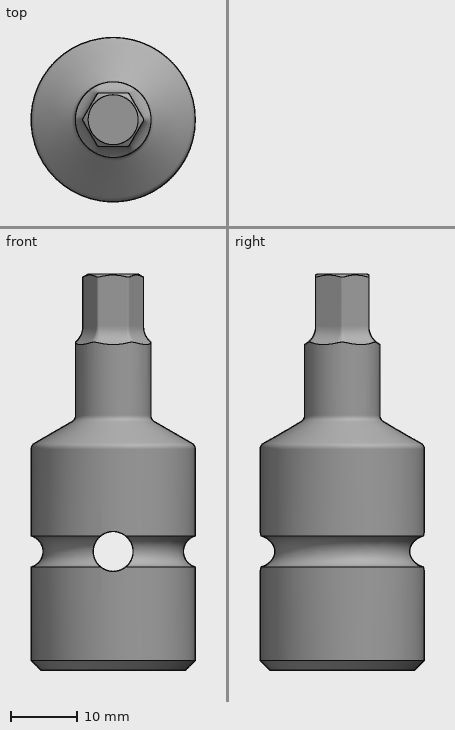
import cadquery as cq
import math

total_length = 60.0
body_diameter = 24.9
neck_diameter = 11.45
body_radius = body_diameter / 2
neck_radius = neck_diameter / 2

base_chamfer = 1.5
body_top = 34.1
shoulder_angle = 30.0
shoulder_fillet = 1.0
shoulder_height = (body_radius - neck_radius) * math.tan(math.radians(shoulder_angle))
neck_base = body_top + shoulder_height

groove_z = 18.0
groove_depth = 1.8
groove_half_width = 2.35
hole_diameter = 6.0

hex_across_flats = 8.1
hex_edge_round = 0.4
flare_radius = 3.0
flare_floor = 49.0
pick_margin = 0.05
tip_face_radius = 3.8
tip_chamfer_angle = 30.0


def make_hex_blank():
    """Hex bar whose root flares tangentially into a disc wider than the neck."""
    hex_corner_diameter = hex_across_flats / math.cos(math.radians(30))
    disc_radius = neck_radius + 2 * flare_radius
    disc = (
        cq.Workplane("XY")
        .workplane(offset=neck_base)
        .circle(disc_radius)
        .extrude(flare_floor - neck_base)
    )
    bar = (
        cq.Workplane("XY")
        .workplane(offset=neck_base)
        .polygon(6, hex_corner_diameter)
        .extrude(total_length - neck_base)
        .edges("|Z")
        .fillet(hex_edge_round)
    )
    root_box = cq.selectors.BoxSelector(
        (-neck_radius, -neck_radius, flare_floor - pick_margin),
        (neck_radius, neck_radius, flare_floor + pick_margin),
    )
    return disc.union(bar).edges(root_box).fillet(flare_radius)


def make_neck_envelope():
    """Neck cylinder with the conical tip chamfer that trims the hex corners."""
    chamfer_drop = (neck_radius - tip_face_radius) * math.tan(math.radians(tip_chamfer_angle))
    return (
        cq.Workplane("XZ")
        .moveTo(0, neck_base)
        .lineTo(neck_radius, neck_base)
        .lineTo(neck_radius, total_length - chamfer_drop)
        .lineTo(tip_face_radius, total_length)
        .lineTo(0, total_length)
        .close()
        .revolve(360, (0, 0, 0), (0, 1, 0))
    )


def make_body():
    """Turned body with base chamfer, round groove and filleted conical shoulder."""
    turn = math.radians(90 - shoulder_angle)
    tangent = shoulder_fillet * math.tan(turn / 2)
    along_r = tangent * math.sin(turn)
    along_z = tangent * math.cos(turn)
    arc_mid_r = shoulder_fillet * (1 - math.cos(turn / 2))
    arc_mid_z = shoulder_fillet * math.sin(turn / 2)
    body_arc_start = body_top - tangent
    neck_arc_end = neck_base + tangent
    return (
        cq.Workplane("XZ")
        .lineTo(body_radius - base_chamfer, 0)
        .lineTo(body_radius, base_chamfer)
        .lineTo(body_radius, groove_z - groove_half_width)
        .threePointArc(
            (body_radius - groove_depth, groove_z),
            (body_radius, groove_z + groove_half_width),
        )
        .lineTo(body_radius, body_arc_start)
        .threePointArc(
            (body_radius - arc_mid_r, body_arc_start + arc_mid_z),
            (body_radius - along_r, body_top + along_z),
        )
        .lineTo(neck_radius + along_r, neck_base - along_z)
        .threePointArc(
            (neck_radius + arc_mid_r, neck_arc_end - arc_mid_z),
            (neck_radius, neck_arc_end),
        )
        .lineTo(0, neck_arc_end)
        .close()
        .revolve(360, (0, 0, 0), (0, 1, 0))
    )


def make_cross_hole():
    """Pin hole running right through the body along Y."""
    return (
        cq.Workplane("XZ")
        .center(0, groove_z)
        .circle(hole_diameter / 2)
        .extrude(body_radius, both=True)
    )


tip_and_neck = make_hex_blank().intersect(make_neck_envelope())
result = make_body().union(tip_and_neck).cut(make_cross_hole())